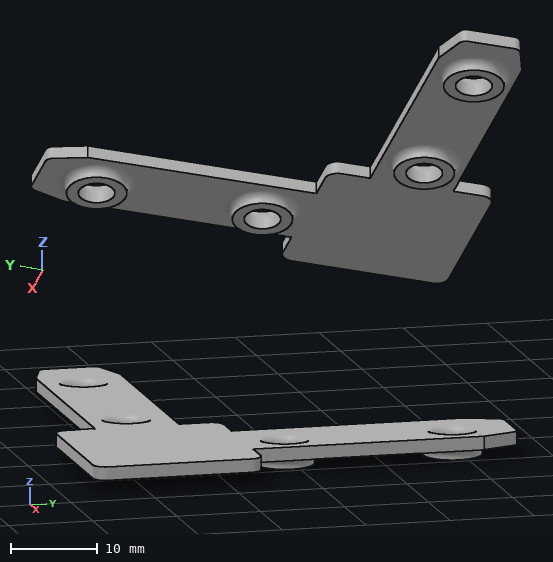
import cadquery as cq

size = 52.0
thickness = 1.6
block_side = 20.0
block_corner_radius = 1.5
arm_width = 10.05
arm_axis = block_side / 2

taper_length = 4.45
taper_inset = 1.55
tip_radius = 1.0

total_height = 3.0
hole_distances = (7.0, 27.0)
bore_diameter = 4.2
flare_radius = 1.5
boss_diameter = 6.95
boss_fillet = 1.05

boss_height = total_height - thickness


def make_arm():
    """Arm along X with its tip at X = 0, running into the corner block."""
    half_width = arm_width / 2
    tip_half_width = half_width - taper_inset
    arm_end = size - arm_axis
    outline = [
        (0, arm_axis - tip_half_width),
        (taper_length, arm_axis - half_width),
        (arm_end, arm_axis - half_width),
        (arm_end, arm_axis + half_width),
        (taper_length, arm_axis + half_width),
        (0, arm_axis + tip_half_width),
    ]
    arm = cq.Workplane("XY").polyline(outline).close().extrude(thickness)
    return arm.edges("|Z and <X").fillet(tip_radius)


def make_block():
    """Square corner block with rounded vertical edges."""
    block = cq.Workplane("XY").rect(block_side, block_side).extrude(thickness)
    block = block.edges("|Z").fillet(block_corner_radius)
    return block.translate((size - arm_axis, arm_axis, 0))


def mirror_arm(body):
    """Swap the two arms by reflecting about the diagonal of the corner block."""
    turned = body.rotate((0, 0, 0), (0, 0, 1), 90).mirror("XZ")
    return turned.translate((size, size, 0))


def add_boss(plate, x, y):
    """Add a boss below the plate, blended into its underside."""
    boss = cq.Workplane("XY").circle(boss_diameter / 2).extrude(-boss_height)
    blend_outer = boss_diameter / 2 + boss_fillet
    blend = (
        cq.Workplane("XZ")
        .lineTo(blend_outer, 0)
        .radiusArc((boss_diameter / 2, -boss_fillet), -boss_fillet)
        .lineTo(0, -boss_fillet)
        .close()
        .revolve(360, (0, 0, 0), (0, 1, 0))
    )
    return plate.union(boss.union(blend).translate((x, y, 0)))


def cut_flared_hole(plate, x, y):
    """Cut a through bore whose mouth curves out to meet the top face."""
    bore_radius = bore_diameter / 2
    cutter = (
        cq.Workplane("XZ")
        .moveTo(0, -boss_height)
        .lineTo(bore_radius, -boss_height)
        .lineTo(bore_radius, thickness - flare_radius)
        .radiusArc((bore_radius + flare_radius, thickness), flare_radius)
        .lineTo(0, thickness)
        .close()
        .revolve(360, (0, 0, 0), (0, 1, 0))
    )
    return plate.cut(cutter.translate((x, y, 0)))


arm_x = make_arm()
result = make_block().union(arm_x).union(mirror_arm(arm_x))

hole_centres = [(distance, arm_axis) for distance in hole_distances]
hole_centres += [(size - arm_axis, size - distance) for distance in hole_distances]
for centre_x, centre_y in hole_centres:
    result = add_boss(result, centre_x, centre_y)
    result = cut_flared_hole(result, centre_x, centre_y)